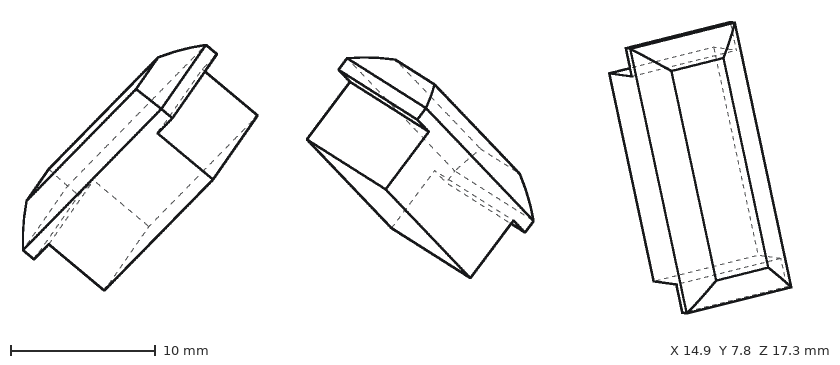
import cadquery as cq
import math

TILT = 56.4
WIDTH = 7.8
FLANGE_LENGTH = 18.81
FLANGE_THICKNESS = 1.0
STEM_LENGTH = 14.79
STEM_HEIGHT = 5.0
DOME_HEIGHT = 2.0
DOME_INSET = 1.95
DOME_BULGE = 0.09


def dome_profile(plane, base_length):
    """Outline of the dome: flat base and top joined by two bowed sides."""
    base = base_length / 2
    top = base - DOME_INSET
    chord = math.hypot(DOME_INSET, DOME_HEIGHT)
    mid_x = (base + top) / 2 + DOME_BULGE * DOME_HEIGHT / chord
    mid_z = DOME_HEIGHT / 2 + DOME_BULGE * DOME_INSET / chord
    return (
        cq.Workplane(plane)
        .moveTo(-base, 0)
        .lineTo(base, 0)
        .threePointArc((mid_x, mid_z), (top, DOME_HEIGHT))
        .lineTo(-top, DOME_HEIGHT)
        .threePointArc((-mid_x, mid_z), (-base, 0))
        .close()
    )


def make_dome():
    """Lengthwise and crosswise profiles intersect, meeting in mitred corners."""
    lengthwise = dome_profile("XZ", FLANGE_LENGTH).extrude(WIDTH / 2, both=True)
    crosswise = dome_profile("YZ", WIDTH).extrude(FLANGE_LENGTH / 2, both=True)
    return lengthwise.intersect(crosswise)


def make_block(length, height, top_z):
    """Full-width block whose upper face lies at top_z."""
    return cq.Workplane("XY").box(length, WIDTH, height).translate((0, 0, top_z - height / 2))


flange = make_block(FLANGE_LENGTH, FLANGE_THICKNESS, 0)
stem = make_block(STEM_LENGTH, STEM_HEIGHT, -FLANGE_THICKNESS)
key = make_dome().union(flange).union(stem)

result = key.rotate((0, 0, 0), (0, 1, 0), -TILT)